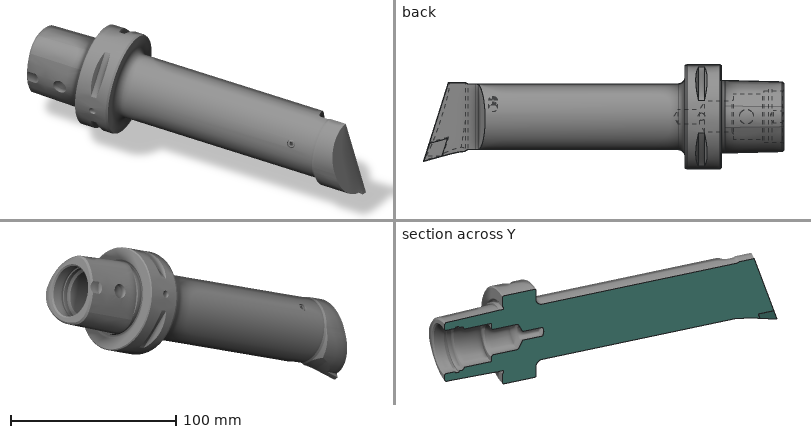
import cadquery as cq
import math

total_length = 218.0
big = 130.8
clearance = 2.2

flange_x = 38.0
taper_end_x = 35.8
taper_mean_radius = 22.0
taper_slope = 1 / 40
lobe_height = 1.4
taper_chamfer = 1.0
neck_radius = 22.0
face_recess_radius = 24.0
face_recess_floor_radius = 22.9
face_recess_depth = 0.7

flange_radius = 63.0 / 2
flange_width = 22.0
flange_front_chamfer = 0.7
flange_back_chamfer_length = 1.3
flange_back_chamfer_depth = 0.5
groove_x = 50.0
groove_floor_distance = 28.1
groove_floor_half_width = 1.7
groove_rim_half_width = 3.5
flange_hole_radius = 2.2
flange_hole_depth = 4.4

shank_radius = 40.0 / 2
shank_fillet = 4.0
shank_end_x = 191.2
head_x = 192.5
head_radius = 41.2 / 2
head_drop = 3.5

tip_z = -27.0
tip_end_slope = math.tan(math.radians(17.9))
tip_end_relief = math.tan(math.radians(6.3))
tip_under_slope = math.tan(math.radians(15.6))
tip_under_relief = math.tan(math.radians(10.0))
under_flat_z = -20.7
bend_length = 7.2

rake_slope = math.tan(math.radians(3.7))
recess_floor_x = 185.0
recess_wall_slope = math.tan(math.radians(13.5))
recess_fillet = 2.0

insert_edge = 11.5
insert_thickness = 3.7
screw_x = 176.0
screw_angle = 30.0
screw_radius = 2.6
screw_length = 8.7
screw_recess = 0.7
screw_chamfer = 0.7
socket_across_flats = 2.5
socket_depth = 3.3
screw_hole_depth = screw_recess + screw_length

bore_mouth_radius = 16.4
bore_entry_radius = 15.5
bore_radius = 13.7
clamp_groove_x = 7.5
clamp_groove_width = 2.0
clamp_groove_radius = 16.4
bore_cone_x = 12.0
bore_cone_end_x = 13.0
bore_depth = 30.5
bolt_hole_mouth_radius = 10.5
bolt_hole_radius = 9.4
bolt_hole_depth = 17.5
coolant_hole_radius = 4.4
coolant_hole_depth = 13.0
drill_half_angle = 59.0

flank_hole_x = 22.7
flank_hole_radius = 4.4
flank_hole_depth = 3.3
key_radius = 7.0
key_depth = 1.3
key_length = 6.3
key_runout = 2.0

flange_back_x = flange_x + flange_width


def revolved(points):
    """Revolve an (x, radius) outline about the X axis."""
    return cq.Workplane("XY").polyline(points).close().revolve(360, (0, 0), (1, 0))


def drill_tip(radius):
    """Length of a drill point of this radius."""
    return radius / math.tan(math.radians(drill_half_angle))


def radial_drill(x, surface, radius, depth):
    """Straight-sided blind hole with a drill point, entering from the -Y side."""
    bottom = surface - depth
    points = [
        (x, -flange_radius - clearance),
        (x + radius, -flange_radius - clearance),
        (x + radius, -bottom),
        (x, -bottom + drill_tip(radius)),
    ]
    return cq.Workplane("XY").polyline(points).close().revolve(360, (x, 0), (x, 1))


def taper_radius(x):
    """Mean radius of the clamping taper at x."""
    return taper_mean_radius - (flange_x - x) * taper_slope


def lobed_wire(x, inset=0.0):
    """Closed outline of six tangent arcs in the plane at x, with a lobe pointing to +Y."""
    mean = taper_radius(x) - inset
    center_distance = 2 * lobe_height / (2 - math.sqrt(3))
    lobe_radius = mean + lobe_height - center_distance
    flank_middle = mean - lobe_height
    lobe_tip = mean + lobe_height

    def polar(radius, degrees):
        angle = math.radians(degrees)
        return cq.Vector(0, radius * math.cos(angle), radius * math.sin(angle))

    def lobe_point(direction, offset):
        return polar(center_distance, direction) + polar(lobe_radius, direction + offset)

    half_span = 30
    edges = []
    for direction in (0, 120, 240):
        start = lobe_point(direction, -half_span)
        end = lobe_point(direction, half_span)
        next_start = lobe_point(direction + 120, -half_span)
        edges.append(cq.Edge.makeThreePointArc(start, polar(lobe_tip, direction), end))
        edges.append(cq.Edge.makeThreePointArc(end, polar(flank_middle, direction + 60), next_start))
    return cq.Wire.assembleEdges(edges).translate(cq.Vector(x, 0, 0))


def clamping_taper():
    chamfered_end = cq.Solid.makeLoft([lobed_wire(0, taper_chamfer), lobed_wire(taper_chamfer)], True)
    cone = cq.Solid.makeLoft([lobed_wire(taper_chamfer), lobed_wire(taper_end_x)], True)
    neck = revolved(
        [
            (taper_end_x, 0),
            (taper_end_x, neck_radius),
            (flange_x + face_recess_depth, neck_radius),
            (flange_x + face_recess_depth, 0),
        ]
    )
    return cq.Workplane(chamfered_end).union(cq.Workplane(cone)).union(neck)


def flange_and_shank():
    """Flange, fillet, shank and the short cone up to the head, as one turned shape."""
    recess_x = flange_x + face_recess_depth
    fillet_end_x = flange_back_x + shank_fillet
    fillet_mid = shank_fillet * (1 - math.sqrt(0.5))
    return (
        cq.Workplane("XY")
        .moveTo(recess_x, 0)
        .lineTo(recess_x, face_recess_floor_radius)
        .lineTo(flange_x, face_recess_radius)
        .lineTo(flange_x, flange_radius - flange_front_chamfer)
        .lineTo(flange_x + flange_front_chamfer, flange_radius)
        .lineTo(flange_back_x - flange_back_chamfer_length, flange_radius)
        .lineTo(flange_back_x, flange_radius - flange_back_chamfer_depth)
        .lineTo(flange_back_x, shank_radius + shank_fillet)
        .threePointArc(
            (flange_back_x + fillet_mid, shank_radius + fillet_mid),
            (fillet_end_x, shank_radius),
        )
        .lineTo(shank_end_x, shank_radius)
        .lineTo(head_x, head_radius)
        .lineTo(head_x, 0)
        .close()
        .revolve(360, (0, 0), (1, 0))
    )


def relieved_prism(outline):
    """Sweep an XZ outline drawn at Y = 0 along the direction that keeps both relief angles."""
    rise = (tip_under_relief + tip_under_slope * tip_end_relief) / (1 - tip_under_slope * tip_end_slope)
    setback = tip_end_relief + tip_end_slope * rise
    sweep = cq.Vector(-setback, -1, rise)
    above = 4.4
    below = 26.2
    face = cq.Face.makeFromWires(outline.val().translate(sweep * -above))
    return cq.Workplane(cq.Solid.extrudeLinear(face, sweep * (above + below)))


def head():
    """Two stacked cylinders with a flared start, trimmed by the end face and the under face."""
    length = total_length - head_x
    upper = cq.Workplane("YZ", (head_x, 0, 0)).circle(head_radius).extrude(length)
    lower = cq.Workplane("YZ", (head_x, 0, -head_drop)).circle(head_radius).extrude(length)
    web = cq.Workplane("YZ", (head_x, 0, -head_drop / 2)).rect(2 * head_radius, head_drop).extrude(length)
    flare = revolved(
        [
            (head_x, 0),
            (head_x, head_radius),
            (total_length, head_radius + length),
            (total_length, 0),
        ]
    )

    bend_x = total_length - (under_flat_z - tip_z) / tip_under_slope
    flat_margin = 11.0
    flat_start_x = head_x - flat_margin
    slope_angle = math.atan(tip_under_slope)
    arc_end = (
        bend_x + bend_length * math.cos(slope_angle),
        under_flat_z - bend_length * math.sin(slope_angle),
    )
    top_x = total_length - tip_end_slope * (big / 2 - tip_z)
    outline = (
        cq.Workplane("XZ")
        .moveTo(flat_start_x, under_flat_z)
        .lineTo(bend_x - bend_length, under_flat_z)
        .tangentArcPoint(arc_end, relative=False)
        .lineTo(total_length, tip_z)
        .lineTo(top_x, big / 2)
        .lineTo(flat_start_x, big / 2)
        .close()
    )
    return upper.union(lower).union(web).intersect(flare).intersect(relieved_prism(outline))


def rake_plane():
    """Plane of the rake floor through the cutting tip; its normal points out of the floor."""
    return cq.Plane((total_length, 0, tip_z), (1, 0, 0), (0, 1, -rake_slope))


def chip_recess():
    wall_height = 26.2
    depth_at_axis = -rake_slope * tip_z
    return (
        cq.Workplane(cq.Plane((0, depth_at_axis, 0), (1, 0, 0), (0, rake_slope, 1)))
        .moveTo(recess_floor_x, 0)
        .lineTo(recess_floor_x - recess_wall_slope * wall_height, wall_height)
        .lineTo(total_length + clearance, wall_height)
        .lineTo(total_length + clearance, 0)
        .close()
        .extrude(big / 2, both=True)
        .edges(cq.selectors.NearestToPointSelector((recess_floor_x, depth_at_axis, 0)))
        .fillet(recess_fillet)
    )


def gripper_groove(angle):
    """Straight trapezoidal groove across the flange rim."""
    rim_distance = flange_radius + clearance
    flare = (groove_rim_half_width - groove_floor_half_width) / (flange_radius - groove_floor_distance)
    top_half_width = groove_floor_half_width + flare * (rim_distance - groove_floor_distance)
    return (
        cq.Workplane("XZ")
        .moveTo(groove_x - groove_floor_half_width, groove_floor_distance)
        .lineTo(groove_x + groove_floor_half_width, groove_floor_distance)
        .lineTo(groove_x + top_half_width, rim_distance)
        .lineTo(groove_x - top_half_width, rim_distance)
        .close()
        .extrude(flange_radius, both=True)
        .rotate((0, 0, 0), (1, 0, 0), angle)
    )


def bore():
    """Stepped bore of the clamping end, down to a drilled coolant hole."""
    bolt_chamfer = bolt_hole_mouth_radius - bolt_hole_radius
    bolt_end = bore_depth + bolt_hole_depth
    cone_slope = math.tan(math.radians(drill_half_angle))
    coolant_x = bolt_end + (bolt_hole_radius - coolant_hole_radius) / cone_slope
    coolant_end = coolant_x + coolant_hole_depth
    clamp_groove_end_x = clamp_groove_x + clamp_groove_width
    return revolved(
        [
            (0, 0),
            (0, bore_mouth_radius),
            (bore_mouth_radius - bore_entry_radius, bore_entry_radius),
            (clamp_groove_x, bore_entry_radius),
            (clamp_groove_x, clamp_groove_radius),
            (clamp_groove_end_x, clamp_groove_radius),
            (clamp_groove_end_x, bore_entry_radius),
            (bore_cone_x, bore_entry_radius),
            (bore_cone_end_x, bore_radius),
            (bore_depth, bore_radius),
            (bore_depth, bolt_hole_mouth_radius),
            (bore_depth + bolt_chamfer, bolt_hole_radius),
            (bolt_end, bolt_hole_radius),
            (coolant_x, coolant_hole_radius),
            (coolant_end, coolant_hole_radius),
            (coolant_end + drill_tip(coolant_hole_radius), 0),
        ]
    )


def key_groove():
    """Shallow round-bottomed groove along X in the -Y flank, rising out at its end."""
    flank = taper_radius(key_length) - lobe_height
    axis_y = -(flank - key_depth + key_radius)
    return revolved(
        [
            (0, 0),
            (0, key_radius),
            (key_length, key_radius),
            (key_length + key_runout, key_radius - key_depth),
            (key_length + key_runout, 0),
        ]
    ).translate((0, axis_y, 0))


def on_screw_axis(depth):
    """Sketch plane across the screw axis, at a depth below the shank surface, facing outwards."""
    angle = math.radians(screw_angle)
    outward = (0, -math.cos(angle), math.sin(angle))
    distance = shank_radius - depth
    origin = (screw_x, outward[1] * distance, outward[2] * distance)
    return cq.Workplane(cq.Plane(origin, (1, 0, 0), outward))


def screw_hole():
    """Blind hole from the bottom of the screw out past the shank surface."""
    return on_screw_axis(screw_hole_depth).circle(screw_radius).extrude(screw_hole_depth + clearance)


def make_insert():
    end_length = math.hypot(tip_end_slope, 1)
    under_length = math.hypot(1, tip_under_slope)
    end_step = (-tip_end_slope * insert_edge / end_length, insert_edge / end_length)
    under_step = (-insert_edge / under_length, tip_under_slope * insert_edge / under_length)
    outline = (
        cq.Workplane("XZ")
        .moveTo(total_length, tip_z)
        .line(*end_step)
        .line(*under_step)
        .line(-end_step[0], -end_step[1])
        .close()
    )
    slab = cq.Workplane(rake_plane()).rect(big, big).extrude(-insert_thickness)
    return relieved_prism(outline).intersect(slab)


def make_screw():
    blank = on_screw_axis(screw_hole_depth).circle(screw_radius).extrude(screw_length)
    socket_diameter = socket_across_flats / math.cos(math.pi / 6)
    socket_bottom = on_screw_axis(screw_recess + socket_depth)
    socket = socket_bottom.polygon(6, socket_diameter).extrude(socket_depth)
    return blank.faces("<Y").chamfer(screw_chamfer).cut(socket)


def make_holder(insert):
    holder = clamping_taper().union(flange_and_shank()).union(head())
    holder = holder.cut(chip_recess()).cut(bore()).cut(key_groove())
    for angle in (45, 135, 225, 315):
        holder = holder.cut(gripper_groove(angle))
    flank = taper_radius(flank_hole_x) - lobe_height
    holder = holder.cut(radial_drill(flank_hole_x, flank, flank_hole_radius, flank_hole_depth))
    holder = holder.cut(radial_drill(groove_x, flange_radius, flange_hole_radius, flange_hole_depth))
    return holder.cut(screw_hole()).cut(insert)


insert = make_insert()
screw = make_screw()
holder = make_holder(insert)

result = cq.Compound.makeCompound([holder.val(), insert.val(), screw.val()])